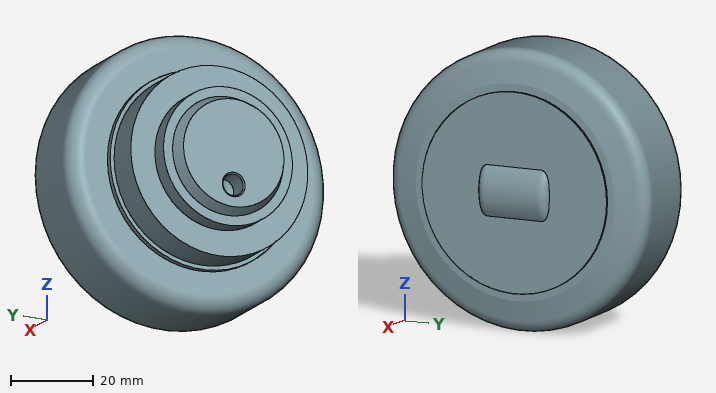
import cadquery as cq
import math


nose_face_radius = 13.6
nose_base_radius = 15.0
nose_end = 3.15
collar_radius = 17.45
collar_end = 7.85
hub_radius = 24.0
hub_end = 16.95
ring_radius = 25.0

tyre_start = 18.5
tyre_radius = 35.05
back_round = 4.0
front_round_start = 36.9
front_round = 3.5
front_cone_angle = math.radians(12)
tyre_end = 41.4
cover_end = 42.0

roller_tip = 44.0
roller_radius = 11.0
roller_length = 19.1
roller_round = 2.3

hole_drop = 8.0
hole_radius = 2.7
hole_mouth_radius = 3.1
hole_depth = 5.6
drill_tip_angle = math.radians(59)


def arc_point(center, radius, angle):
    """Point on a circle, with the angle measured from the +X direction."""
    return center[0] + radius * math.cos(angle), center[1] + radius * math.sin(angle)


def make_wheel():
    """Hub, tyre and cover, revolved from one half profile."""
    back_center = (tyre_start + back_round, tyre_radius - back_round)
    front_center = (front_round_start, tyre_radius - front_round)
    cone_start = arc_point(front_center, front_round, front_cone_angle)
    front_mid = arc_point(front_center, front_round, (front_cone_angle + math.pi / 2) / 2)
    cone_end_radius = cone_start[1] - (tyre_end - cone_start[0]) / math.tan(front_cone_angle)
    return (
        cq.Workplane("XY")
        .moveTo(0, 0)
        .lineTo(0, nose_face_radius)
        .lineTo(nose_end, nose_base_radius)
        .lineTo(nose_end, collar_radius)
        .lineTo(collar_end, collar_radius)
        .lineTo(collar_end, hub_radius)
        .lineTo(hub_end, hub_radius)
        .lineTo(hub_end, ring_radius)
        .lineTo(tyre_start, ring_radius)
        .lineTo(tyre_start, back_center[1])
        .threePointArc(arc_point(back_center, back_round, 3 * math.pi / 4), (back_center[0], tyre_radius))
        .lineTo(front_round_start, tyre_radius)
        .threePointArc(front_mid, cone_start)
        .lineTo(tyre_end, cone_end_radius)
        .lineTo(tyre_end, ring_radius)
        .lineTo(cover_end, ring_radius)
        .lineTo(cover_end, 0)
        .close()
        .revolve(360, (0, 0, 0), (1, 0, 0))
    )


def make_side_roller():
    """Rounded cross roller, most of it sunk into the wheel."""
    return (
        cq.Workplane("XZ", origin=(roller_tip - roller_radius, 0, 0))
        .circle(roller_radius)
        .extrude(roller_length / 2, both=True)
        .edges()
        .fillet(roller_round)
    )


def make_grease_hole():
    """Blind drilled hole with a 45 degree chamfered mouth and a conical bottom."""
    chamfer = hole_mouth_radius - hole_radius
    tip_depth = hole_depth + hole_radius / math.tan(drill_tip_angle)
    return (
        cq.Workplane("XY", origin=(0, 0, -hole_drop))
        .moveTo(0, 0)
        .lineTo(0, hole_mouth_radius)
        .lineTo(chamfer, hole_radius)
        .lineTo(hole_depth, hole_radius)
        .lineTo(tip_depth, 0)
        .close()
        .revolve(360, (0, 0, 0), (1, 0, 0))
    )


result = make_wheel().union(make_side_roller()).cut(make_grease_hole())